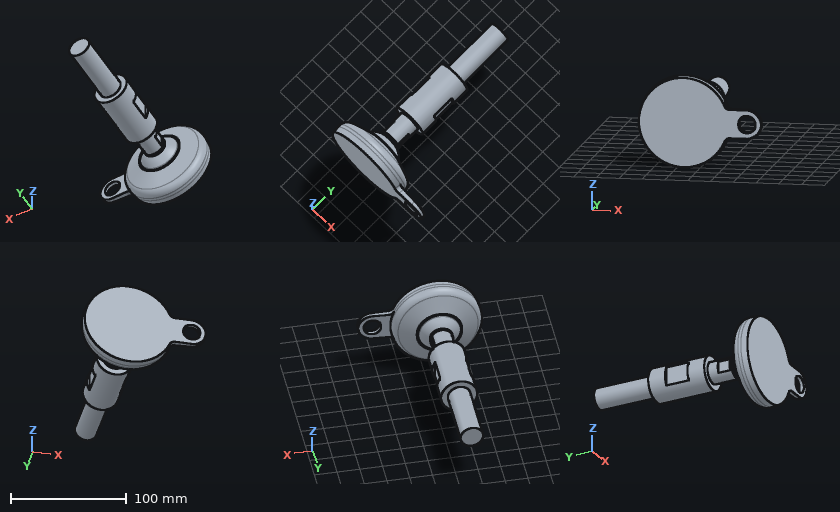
import cadquery as cq
import math


foot_radius = 40.0
sole_radius = 39.3
draft_height = 6.0
rim_height = 9.0
shoulder_radius = 7.5
foot_top_height = 22.0
foot_top_radius = 20.0

lug_radius = 12.5
lug_reach = 68.0
lug_tip_thickness = 4.0
lug_slope_start = 36.0
lug_fillet = 5.0
lug_hole_diameter = 15.0
lug_centre = lug_reach - lug_radius

spindle_top = 166.5
rod_radius = 10.0
rod_bottom = 31.75
groove_radius = 7.5
bead_height = 30.75
neck_height = 29.75
neck_radius = 9.0
dome_radius = 23.0
dome_skirt_height = 23.25
dome_base_radius = 19.0
spindle_flat_width = 17.0
spindle_flat_bottom = 33.5
spindle_flat_length = 11.5

sleeve_radius = 16.0
sleeve_bottom = 55.0
sleeve_length = 55.0
sleeve_flat_width = 27.0
sleeve_flat_length = 22.0
sleeve_flat_bottom = sleeve_bottom + (sleeve_length - sleeve_flat_length) / 2


def revolve_about_y(outline):
    return outline.close().revolve(360, (0, 0, 0), (0, 1, 0))


def cylinder_along_y(radius, bottom, length):
    return cq.Workplane("XZ", origin=(0, bottom, 0)).circle(radius).extrude(-length)


def cut_flats(body, radius, width, bottom, length):
    """Cut two parallel wrench flats facing -X and +X into a round body."""
    depth = radius - width / 2
    for side in (-1, 1):
        block = cq.Workplane("XY").box(depth, length, 2 * radius, centered=(True, False, True))
        body = body.cut(block.translate((side * (radius - depth / 2), bottom, 0)))
    return body


def drafted_rim():
    return revolve_about_y(
        cq.Workplane("XY")
        .lineTo(sole_radius, 0)
        .lineTo(foot_radius, draft_height)
        .lineTo(0, draft_height)
    )


def make_lug_plate():
    """Drafted rim with the lug blended into it, sloping top and fixing hole."""
    bar = cq.Workplane("XY").box(lug_centre, draft_height, 2 * lug_radius, centered=(False, False, True))
    plate = drafted_rim().union(bar).union(
        cylinder_along_y(lug_radius, 0, draft_height).translate((lug_centre, 0, 0))
    )
    corner_x_min = math.sqrt(sole_radius**2 - lug_radius**2)
    corner_x_max = math.sqrt(foot_radius**2 - lug_radius**2)
    corners = cq.selectors.BoxSelector(
        (corner_x_min, 0, -foot_radius), (corner_x_max, draft_height, foot_radius)
    )
    plate = plate.edges(corners).fillet(lug_fillet)
    slope_wedge = (
        cq.Workplane("XY")
        .polyline([(lug_slope_start, draft_height), (lug_reach, lug_tip_thickness), (lug_reach, draft_height)])
        .close()
        .extrude(foot_radius, both=True)
    )
    hole = cylinder_along_y(lug_hole_diameter / 2, 0, draft_height).translate((lug_centre, 0, 0))
    return plate.cut(slope_wedge).cut(hole)


def make_foot():
    arc_x = foot_radius - shoulder_radius
    run = arc_x - foot_top_radius
    rise = foot_top_height - rim_height
    tangent_offset = math.asin(shoulder_radius / math.hypot(run, rise))
    cone_angle = math.atan2(rise, run) - tangent_offset

    def on_shoulder(angle):
        return (arc_x + shoulder_radius * math.cos(angle), rim_height + shoulder_radius * math.sin(angle))

    arc_end = math.pi / 2 - cone_angle
    disc = revolve_about_y(
        cq.Workplane("XY")
        .lineTo(sole_radius, 0)
        .lineTo(foot_radius, draft_height)
        .lineTo(foot_radius, rim_height)
        .threePointArc(on_shoulder(arc_end / 2), on_shoulder(arc_end))
        .lineTo(foot_top_radius, foot_top_height)
        .lineTo(0, foot_top_height)
    )
    return disc.union(make_lug_plate())


def make_spindle():
    dome_centre = neck_height - math.sqrt(dome_radius**2 - rod_radius**2)

    def on_dome(height):
        return (math.sqrt(dome_radius**2 - (height - dome_centre) ** 2), height)

    spindle = revolve_about_y(
        cq.Workplane("XY")
        .moveTo(0, foot_top_height)
        .lineTo(dome_base_radius, foot_top_height)
        .lineTo(*on_dome(dome_skirt_height))
        .threePointArc(on_dome((dome_skirt_height + neck_height) / 2), on_dome(neck_height))
        .lineTo(neck_radius, neck_height)
        .lineTo(rod_radius, bead_height)
        .lineTo(groove_radius, rod_bottom)
        .lineTo(rod_radius, rod_bottom)
        .lineTo(rod_radius, spindle_top)
        .lineTo(0, spindle_top)
    )
    return cut_flats(spindle, rod_radius, spindle_flat_width, spindle_flat_bottom, spindle_flat_length)


def make_sleeve():
    sleeve = cylinder_along_y(sleeve_radius, sleeve_bottom, sleeve_length)
    sleeve = sleeve.cut(cylinder_along_y(rod_radius, sleeve_bottom, sleeve_length))
    return cut_flats(sleeve, sleeve_radius, sleeve_flat_width, sleeve_flat_bottom, sleeve_flat_length)


foot = make_foot()
spindle = make_spindle()
sleeve = make_sleeve()

result = cq.Compound.makeCompound([body.solids().val() for body in (foot, spindle, sleeve)])